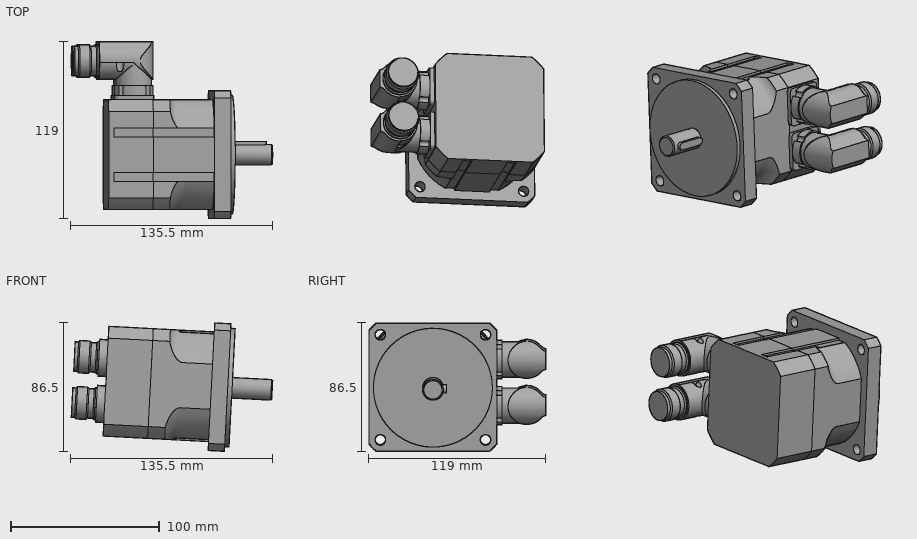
import cadquery as cq

import math

TILT_ANGLE = 3.0

BODY_WIDTH = 74.0
BODY_CORNER_DIAMETER = 94.0
FLANGE_THICKNESS = 11.0
HOUSING_LENGTH = 41.0
COVER_LENGTH = 30.0
HOUSING_FRONT = -FLANGE_THICKNESS
SEAM = HOUSING_FRONT - HOUSING_LENGTH
COVER_REAR = SEAM - COVER_LENGTH

NECK_DIAMETER = 80.0
NECK_LENGTH = 20.0
NECK_FILLET = 10.0

GROOVE_INNER_EDGE = 12.0
GROOVE_OUTER_EDGE = 18.0
GROOVE_DEPTH = 1.5
GROOVE_END_MARGIN = 3.5

FLANGE_WIDTH = 86.0
FLANGE_CORNER_DIAMETER = 115.0
BOLT_CIRCLE_DIAMETER = 100.0
BOLT_HOLE_DIAMETER = 7.0
PILOT_DIAMETER = 80.0
PILOT_HEIGHT = 3.0

SHAFT_DIAMETER = 14.0
SHAFT_END = 30.0
SHAFT_CHAMFER = 0.8
KEY_WIDTH = 5.0
KEY_LENGTH = 22.0
KEY_START = 4.0
KEY_TOP = 9.0

CONNECTOR_X = -64.05
CONNECTOR_SPACING = 31.0
BASE_WIDTH = 26.0
BASE_CORNER_RADIUS = 2.7
BASE_HEIGHT = 2.9
COLLAR_DIAMETER = 26.0
COLLAR_HEIGHT = 6.6
COLLAR_FLUTE_DIAMETER = 4.0
FLUTE_COUNT = 4
FIRST_FLUTE_ANGLE = 45
LEG_DIAMETER = 24.0
BASE_TOP = BODY_WIDTH / 2 + BASE_HEIGHT
COLLAR_TOP = BASE_TOP + COLLAR_HEIGHT

PLUG_AXIS_Y = 63.0
BARREL_DIAMETER = 24.6
CAP_DIAMETER = 25.0
CAP_END_DIAMETER = 26.0
CAP_EDGE_DROP = 0.9
CAP_MITRE_DROP = 1.8
RIDGE_HEIGHT = 13.0
RIDGE_WIDTH = 12.0
RIDGE_FILLET = 6.0
ELBOW_REACH = 23.5
NOTCH_DIAMETER = 5.0
NOTCH_X = -9.8

PLUG_REACH = 40.0
PLUG_DIAMETER = 20.0
PLUG_RING_DIAMETER = 22.0
PLUG_BEVEL = 1.0
PLUG_TIP_LENGTH = 2.3
PLUG_GRIP_LENGTH = 6.7
PLUG_NECK_LENGTH = 3.5


def cylinder_x(diameter, start, end):
    """Cylinder on the X axis."""
    return cq.Workplane("YZ", origin=(start, 0, 0)).circle(diameter / 2).extrude(end - start)


def cylinder_y(diameter, start, end):
    """Cylinder on the Y axis."""
    return cq.Workplane("XZ", origin=(0, start, 0)).circle(diameter / 2).extrude(start - end)


def rounded_square(width, corner_diameter, start, end):
    """Square prism along X whose corners are turned to a diameter."""
    prism = cq.Workplane("YZ", origin=(start, 0, 0)).rect(width, width).extrude(end - start)
    return prism.intersect(cylinder_x(corner_diameter, start, end))


def body_grooves():
    """Cutters for the long grooves in the top and bottom faces."""
    start = COVER_REAR + GROOVE_END_MARGIN
    middle_y = (GROOVE_INNER_EDGE + GROOVE_OUTER_EDGE) / 2
    return (
        cq.Workplane("YZ", origin=(start, 0, 0))
        .rect(2 * middle_y, BODY_WIDTH, forConstruction=True)
        .vertices()
        .rect(GROOVE_OUTER_EDGE - GROOVE_INNER_EDGE, 2 * GROOVE_DEPTH)
        .extrude(HOUSING_FRONT - start)
    )


def neck_cutter():
    """Ring around the round neck, running out to the corners in a hollow fillet."""
    neck_radius = NECK_DIAMETER / 2
    corner_radius = BODY_CORNER_DIAMETER / 2
    neck_rear = HOUSING_FRONT - NECK_LENGTH
    fillet_centre_radius = neck_radius + NECK_FILLET
    runout = math.sqrt(NECK_FILLET**2 - (fillet_centre_radius - corner_radius) ** 2)
    half_angle = math.asin(runout / NECK_FILLET) / 2
    fillet_middle = (
        neck_rear - NECK_FILLET * math.sin(half_angle),
        fillet_centre_radius - NECK_FILLET * math.cos(half_angle),
    )
    return (
        cq.Workplane("XY")
        .moveTo(HOUSING_FRONT, neck_radius)
        .lineTo(neck_rear, neck_radius)
        .threePointArc(fillet_middle, (neck_rear - runout, corner_radius))
        .lineTo(HOUSING_FRONT, corner_radius)
        .close()
        .revolve(360, (0, 0, 0), (1, 0, 0))
    )


def make_cover():
    """Rear cover of the motor."""
    return rounded_square(BODY_WIDTH, BODY_CORNER_DIAMETER, COVER_REAR, SEAM).cut(body_grooves())


def make_housing():
    """Front housing with its mounting flange and pilot."""
    barrel = rounded_square(BODY_WIDTH, BODY_CORNER_DIAMETER, SEAM, HOUSING_FRONT)
    barrel = barrel.cut(neck_cutter()).cut(body_grooves())
    bolt_spacing = BOLT_CIRCLE_DIAMETER / math.sqrt(2)
    bolt_holes = (
        cq.Workplane("YZ", origin=(HOUSING_FRONT, 0, 0))
        .rect(bolt_spacing, bolt_spacing, forConstruction=True)
        .vertices()
        .circle(BOLT_HOLE_DIAMETER / 2)
        .extrude(FLANGE_THICKNESS)
    )
    flange = rounded_square(FLANGE_WIDTH, FLANGE_CORNER_DIAMETER, HOUSING_FRONT, 0).cut(bolt_holes)
    pilot = cylinder_x(PILOT_DIAMETER, 0, PILOT_HEIGHT)
    return barrel.union(flange).union(pilot)


def make_shaft():
    """Output shaft with its key on the +Y side."""
    shaft = cylinder_x(SHAFT_DIAMETER, PILOT_HEIGHT, SHAFT_END).faces(">X").chamfer(SHAFT_CHAMFER)
    key = (
        cq.Workplane("XZ", origin=(KEY_START + KEY_LENGTH / 2, 0, 0))
        .slot2D(KEY_LENGTH, KEY_WIDTH)
        .extrude(-KEY_TOP)
    )
    return shaft.union(key)


def connector_foot():
    """Square base, fluted collar and round leg, standing on the Y axis."""
    body_side = BODY_WIDTH / 2
    base = (
        cq.Workplane("XZ", origin=(0, body_side, 0))
        .rect(BASE_WIDTH, BASE_WIDTH)
        .extrude(-BASE_HEIGHT)
        .edges("|Y")
        .fillet(BASE_CORNER_RADIUS)
    )
    flutes = (
        cq.Workplane("XZ", origin=(0, BASE_TOP, 0))
        .polarArray(COLLAR_DIAMETER / 2, FIRST_FLUTE_ANGLE, 360, FLUTE_COUNT)
        .circle(COLLAR_FLUTE_DIAMETER / 2)
        .extrude(-COLLAR_HEIGHT)
    )
    collar = cylinder_y(COLLAR_DIAMETER, BASE_TOP, COLLAR_TOP).cut(flutes)
    leg = cylinder_y(LEG_DIAMETER, COLLAR_TOP, PLUG_AXIS_Y)
    return base.union(collar).union(leg)


def elbow_ridge():
    """Ridge along the back of the cap, blended into it by hollow fillets."""
    cap_radius = CAP_DIAMETER / 2
    half_width = RIDGE_WIDTH / 2
    fillet_z = half_width + RIDGE_FILLET
    fillet_y = math.sqrt((cap_radius + RIDGE_FILLET) ** 2 - fillet_z**2)
    touch_scale = cap_radius / (cap_radius + RIDGE_FILLET)
    touch_y = fillet_y * touch_scale
    touch_z = fillet_z * touch_scale
    tip_z = fillet_z - math.sqrt(RIDGE_FILLET**2 - (fillet_y - RIDGE_HEIGHT) ** 2)
    touch_angle = math.atan2(fillet_y - touch_y, fillet_z - touch_z)
    tip_angle = math.atan2(fillet_y - RIDGE_HEIGHT, fillet_z - tip_z)
    middle_angle = (touch_angle + tip_angle) / 2
    middle_y = fillet_y - RIDGE_FILLET * math.sin(middle_angle)
    middle_z = fillet_z - RIDGE_FILLET * math.cos(middle_angle)
    return (
        cq.Workplane("YZ", origin=(-ELBOW_REACH, 0, 0))
        .moveTo(0, -touch_z)
        .lineTo(touch_y, -touch_z)
        .threePointArc((middle_y, -middle_z), (RIDGE_HEIGHT, -tip_z))
        .lineTo(RIDGE_HEIGHT, tip_z)
        .threePointArc((middle_y, middle_z), (touch_y, touch_z))
        .lineTo(0, touch_z)
        .close()
        .extrude(ELBOW_REACH + CAP_END_DIAMETER / 2)
    )


def elbow_cap():
    """Cap over the bend, cut level along the plug and at 45 degrees over the leg."""
    cap_end = CAP_END_DIAMETER / 2
    cap_top = RIDGE_HEIGHT
    cap = cylinder_x(CAP_DIAMETER, -ELBOW_REACH, cap_end).union(elbow_ridge())
    mitre_x = CAP_EDGE_DROP - CAP_MITRE_DROP
    side_outline = (
        cq.Workplane("XY", origin=(0, 0, -CAP_DIAMETER / 2))
        .moveTo(-ELBOW_REACH, cap_top)
        .lineTo(-ELBOW_REACH, -CAP_EDGE_DROP)
        .lineTo(mitre_x, -CAP_EDGE_DROP)
        .lineTo(cap_end, -CAP_MITRE_DROP - cap_end)
        .lineTo(cap_end, cap_top)
        .close()
        .extrude(CAP_DIAMETER)
    )
    round_end = cylinder_y(CAP_END_DIAMETER, -CAP_DIAMETER, cap_top)
    straight_part = cq.Workplane("XY", origin=(-ELBOW_REACH / 2, 0, 0)).box(
        ELBOW_REACH, 2 * CAP_DIAMETER, CAP_DIAMETER
    )
    return cap.intersect(side_outline).intersect(round_end.union(straight_part))


def elbow_barrel():
    """Barrel under the cap, mitred where it meets the leg."""
    radius = BARREL_DIAMETER / 2
    mitre = (
        cq.Workplane("XY", origin=(0, 0, -radius))
        .moveTo(-ELBOW_REACH, 0)
        .lineTo(-ELBOW_REACH, -radius)
        .lineTo(radius - CAP_MITRE_DROP, -radius)
        .lineTo(-CAP_MITRE_DROP, 0)
        .close()
        .extrude(2 * radius)
    )
    return cylinder_x(BARREL_DIAMETER, -ELBOW_REACH, radius).intersect(mitre)


def elbow_notches():
    """Round-bottomed notches on both sides of the barrel, below the edge of the cap."""
    notch = cylinder_y(NOTCH_DIAMETER, -CAP_DIAMETER / 2, -CAP_EDGE_DROP)
    upper = notch.translate((NOTCH_X, 0, CAP_DIAMETER / 2))
    return upper.union(upper.mirror("XY"))


def plug():
    """Turned plug on the X axis, from its free end to the elbow."""
    radius = PLUG_DIAMETER / 2
    ring_radius = PLUG_RING_DIAMETER / 2
    tip_end = PLUG_TIP_LENGTH - PLUG_REACH
    grip_start = tip_end + PLUG_BEVEL
    grip_end = grip_start + PLUG_GRIP_LENGTH
    neck_start = grip_end + PLUG_BEVEL
    neck_end = neck_start + PLUG_NECK_LENGTH
    return (
        cq.Workplane("XZ")
        .moveTo(-PLUG_REACH, 0)
        .lineTo(-PLUG_REACH, radius)
        .lineTo(tip_end, radius)
        .lineTo(grip_start, ring_radius)
        .lineTo(grip_end, ring_radius)
        .lineTo(neck_start, radius)
        .lineTo(neck_end, radius)
        .lineTo(neck_end + PLUG_BEVEL, ring_radius)
        .lineTo(-ELBOW_REACH, ring_radius)
        .lineTo(-ELBOW_REACH, 0)
        .close()
        .revolve(360, (0, 0, 0), (1, 0, 0))
    )


def make_connector(z):
    """Angled connector standing on the +Y side at height z."""
    elbow = elbow_cap().union(elbow_barrel()).cut(elbow_notches()).union(plug())
    connector = connector_foot().union(elbow.translate((0, PLUG_AXIS_Y, 0)))
    return connector.translate((CONNECTOR_X, 0, z))


cover = make_cover()
housing = make_housing()
shaft = make_shaft()
connectors = [make_connector(side * CONNECTOR_SPACING / 2) for side in (-1, 1)]

level_bodies = [cover, housing, shaft, *connectors]
tilted_bodies = [body.rotate((0, 0, 0), (0, 1, 0), TILT_ANGLE) for body in level_bodies]

result = cq.Compound.makeCompound([body.solids().val() for body in tilted_bodies])